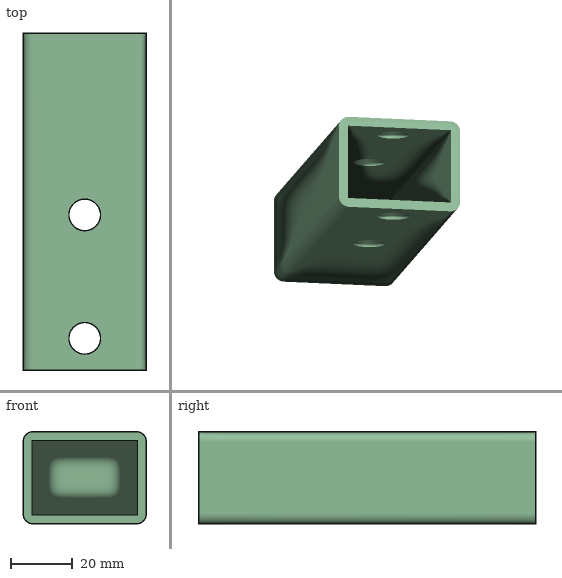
import cadquery as cq

length = 109.4
width = 40.0
height = 30.0
wall = 3.0
corner_radius = 3.3

hole_diameter = 10.2
first_hole_from_open_end = 10.4
hole_spacing = 40.0

open_end_y = -length / 2


def tube_body():
    outer = cq.Workplane("XY").box(width, length, height)
    return outer.edges("|Y").fillet(corner_radius)


def cavity():
    """Sharp-cornered bore that leaves one wall thickness at the closed end."""
    depth = length - wall
    bore = cq.Workplane("XY").box(width - 2 * wall, depth, height - 2 * wall)
    return bore.translate((0, -wall / 2, 0))


def cross_holes():
    first_y = open_end_y + first_hole_from_open_end
    centers = [(0, first_y), (0, first_y + hole_spacing)]
    return (
        cq.Workplane("XY")
        .pushPoints(centers)
        .circle(hole_diameter / 2)
        .extrude(height, both=True)
    )


result = tube_body().cut(cavity()).cut(cross_holes())